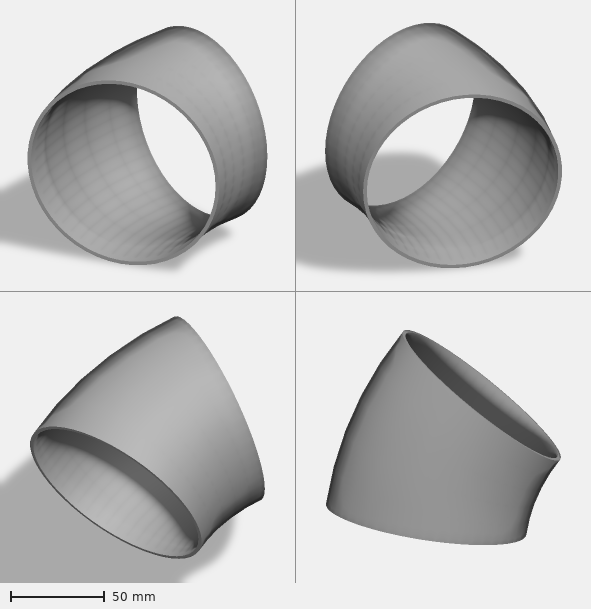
import cadquery as cq

outer_diameter = 108.0
wall_thickness = 2.0
bend_radius = 142.5
bend_angle = 30.0

outer_radius = outer_diameter / 2
inner_radius = outer_radius - wall_thickness

inlet_ring = cq.Workplane("XZ").circle(outer_radius).circle(inner_radius)
bend_axis_start = (bend_radius, 0)
bend_axis_end = (bend_radius, -1)

result = inlet_ring.revolve(bend_angle, bend_axis_start, bend_axis_end)